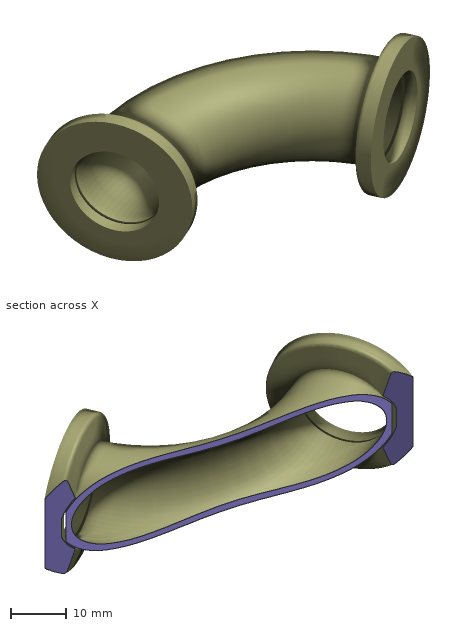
import cadquery as cq
import math

BEND_RADIUS = 37.0
BEND_ANGLE = 90
TUBE_OUTER_DIAMETER = 20.0
TUBE_BORE = 17.0

FLANGE_DIAMETER = 30.0
FLANGE_BORE = 17.2
FLANGE_THICKNESS = 4.35
TAPER_ANGLE = 15
RIM_FILLET = 0.8
SOCKET_DIAMETER = 20.2
SHOULDER_DEPTH = 2.4
TUBE_SETBACK = 2.95

HALF_BEND = BEND_ANGLE / 2
half_bend_rad = math.radians(HALF_BEND)


def make_tube():
    """Sweep the tube ring about the bend axis, centred on the XZ plane."""
    ring = (
        cq.Workplane("XZ")
        .center(-BEND_RADIUS, 0)
        .circle(TUBE_OUTER_DIAMETER / 2)
        .circle(TUBE_BORE / 2)
    )
    bend = ring.revolve(BEND_ANGLE, (BEND_RADIUS, 0, 0), (BEND_RADIUS, 1, 0))
    return bend.rotate((0, 0, 0), (0, 0, 1), -HALF_BEND)


def make_flange(side):
    """Make the flange at one tube end; side is +1 for the +Y end and -1 for the -Y end."""
    rim_radius = FLANGE_DIAMETER / 2
    socket_radius = SOCKET_DIAMETER / 2
    bore_radius = FLANGE_BORE / 2
    taper_depth = (rim_radius - socket_radius) * math.tan(math.radians(TAPER_ANGLE))
    rim_thickness = FLANGE_THICKNESS - taper_depth

    profile = (
        cq.Workplane("XZ")
        .moveTo(bore_radius, 0)
        .lineTo(rim_radius, 0)
        .lineTo(rim_radius, rim_thickness)
        .lineTo(socket_radius, FLANGE_THICKNESS)
        .lineTo(socket_radius, SHOULDER_DEPTH)
        .lineTo(bore_radius, SHOULDER_DEPTH)
        .close()
    )
    blank = profile.revolve(360, (0, 0, 0), (0, 1, 0))
    flange = blank.edges(cq.selectors.RadiusNthSelector(-1)).edges(">Z").fillet(RIM_FILLET)

    outward = cq.Vector(math.sin(half_bend_rad), side * math.cos(half_bend_rad), 0)
    tube_end = cq.Vector(
        -BEND_RADIUS * math.cos(half_bend_rad), side * BEND_RADIUS * math.sin(half_bend_rad), 0
    )
    sealing_plane = cq.Plane(
        origin=tube_end + outward * TUBE_SETBACK, xDir=(0, 0, 1), normal=outward * -1
    )
    return flange.val().moved(cq.Location(sealing_plane))


tube = make_tube()
flanges = [make_flange(side) for side in (1, -1)]

result = cq.Compound.makeCompound([tube.val(), *flanges])